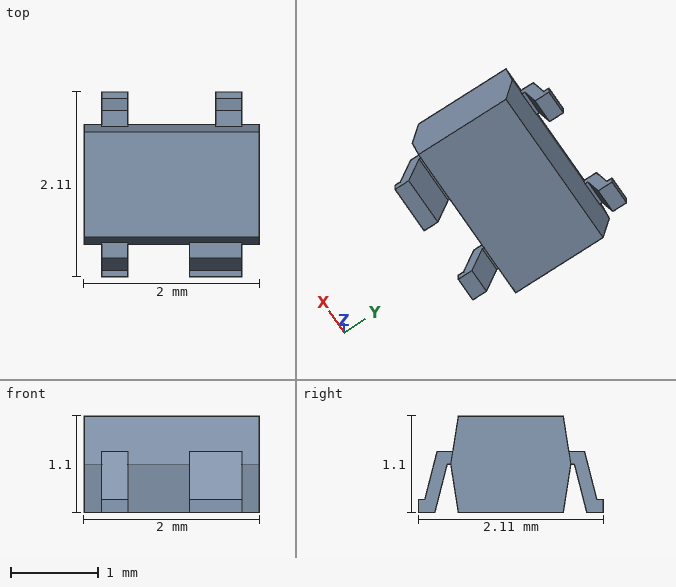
import cadquery as cq

body_length = 2.0
body_height = 1.1
body_end_width = 1.2
body_parting_width = 1.372
parting_height = 0.551

lead_span = 2.11
shoulder_top = 0.7
shoulder_underside = parting_height
shoulder_reach = 0.842
foot_thickness = 0.15
foot_top_length = 0.072
foot_sole_length = 0.189
narrow_lead_width = 0.3
wide_lead_width = 0.6
lead_row_edge = 0.8


def body_half_width(height):
    """Distance from the mid-plane to the sloping side at a height from the parting line up."""
    draft_run = (body_parting_width - body_end_width) / 2
    rise_fraction = (height - parting_height) / (body_height - parting_height)
    return body_parting_width / 2 - draft_run * rise_fraction


def extrude_along_x(outline, x_start, length):
    """Extrude a closed outline of (y, z) points along +X from x_start."""
    return cq.Workplane("YZ", origin=(x_start, 0, 0)).polyline(outline).close().extrude(length)


def make_body():
    half_end = body_end_width / 2
    half_parting = body_parting_width / 2
    outline = [
        (-half_end, 0),
        (half_end, 0),
        (half_parting, parting_height),
        (half_end, body_height),
        (-half_end, body_height),
        (-half_parting, parting_height),
    ]
    return extrude_along_x(outline, -body_length / 2, body_length)


def make_lead(x_start, width, side):
    """Bent lead whose root lies flat on the body; side is +1 for +Y and -1 for -Y."""
    toe = lead_span / 2
    foot_bend = toe - foot_top_length
    heel = toe - foot_sole_length
    leg_slope = (foot_bend - shoulder_reach) / (shoulder_top - foot_thickness)
    inner_bend = heel - leg_slope * shoulder_underside
    profile = [
        (body_half_width(shoulder_top), shoulder_top),
        (shoulder_reach, shoulder_top),
        (foot_bend, foot_thickness),
        (toe, foot_thickness),
        (toe, 0),
        (heel, 0),
        (inner_bend, shoulder_underside),
        (body_half_width(shoulder_underside), shoulder_underside),
    ]
    outline = [(side * y, z) for y, z in profile]
    return extrude_along_x(outline, x_start, width)


lead_layout = [
    (-lead_row_edge, narrow_lead_width, -1),
    (lead_row_edge - wide_lead_width, wide_lead_width, -1),
    (-lead_row_edge, narrow_lead_width, 1),
    (lead_row_edge - narrow_lead_width, narrow_lead_width, 1),
]

body = make_body()
leads = [make_lead(x_start, width, side) for x_start, width, side in lead_layout]

result = cq.Compound.makeCompound([body.val(), *[lead.val() for lead in leads]])